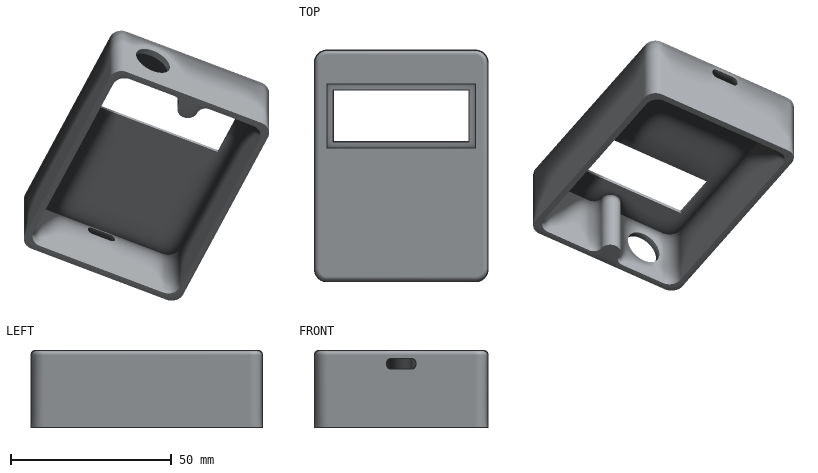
import cadquery as cq

width = 54.0
length = 72.0
height = 24.0
wall = 2.0
corner_radius = 3.95
inner_corner_radius = 3.95
top_edge_radius = 1.5

window_width = 42.1
window_length = 16.05
rebate_width = 46.2
rebate_length = 19.9
rebate_depth = wall / 2
window_y = 15.55

post_diameter = 6.5
post_blend_radius = 2.8

slot_length = 9.3
slot_height = 3.4
slot_z = 19.8

back_hole_diameter = 11.5
back_hole_x = 14.05
back_hole_z = height / 2

inner_width = width - 2 * wall
inner_length = length - 2 * wall
cavity_height = height - wall


def make_shell():
    """Rounded box with a rounded top rim, hollowed out from below."""
    body = cq.Workplane("XY").box(width, length, height, centered=(True, True, False))
    body = body.edges("|Z").fillet(corner_radius)
    body = body.faces(">Z").edges().fillet(top_edge_radius)
    cavity = cq.Workplane("XY").box(inner_width, inner_length, cavity_height, centered=(True, True, False))
    cavity = cavity.edges("|Z").fillet(inner_corner_radius)
    return body.cut(cavity)


def make_post():
    """Half-round post that flares into the back wall through two concave blends."""
    radius = post_diameter / 2
    wall_y = inner_length / 2
    post_y = wall_y - post_blend_radius
    foot_x = radius + post_blend_radius
    blend_mid = post_blend_radius * (1 - 0.5 ** 0.5)
    root_y = wall_y + wall / 2
    return (
        cq.Workplane("XY")
        .moveTo(-foot_x, root_y)
        .lineTo(-foot_x, wall_y)
        .threePointArc((-radius - blend_mid, wall_y - blend_mid), (-radius, post_y))
        .threePointArc((0, post_y - radius), (radius, post_y))
        .threePointArc((radius + blend_mid, wall_y - blend_mid), (foot_x, wall_y))
        .lineTo(foot_x, root_y)
        .close()
        .extrude(cavity_height)
    )


def make_window():
    """Through opening plus the wider rebate in the top face."""
    opening = (
        cq.Workplane("XY", origin=(0, window_y, cavity_height))
        .rect(window_width, window_length)
        .extrude(wall)
    )
    rebate = (
        cq.Workplane("XY", origin=(0, window_y, height - rebate_depth))
        .rect(rebate_width, rebate_length)
        .extrude(rebate_depth)
    )
    return opening.union(rebate)


def make_front_slot():
    return (
        cq.Workplane("XZ", origin=(0, -length / 2, slot_z))
        .slot2D(slot_length, slot_height)
        .extrude(-wall)
    )


def make_back_hole():
    return (
        cq.Workplane("XZ", origin=(back_hole_x, length / 2, back_hole_z))
        .circle(back_hole_diameter / 2)
        .extrude(wall)
    )


result = (
    make_shell()
    .union(make_post())
    .cut(make_window())
    .cut(make_front_slot())
    .cut(make_back_hole())
)